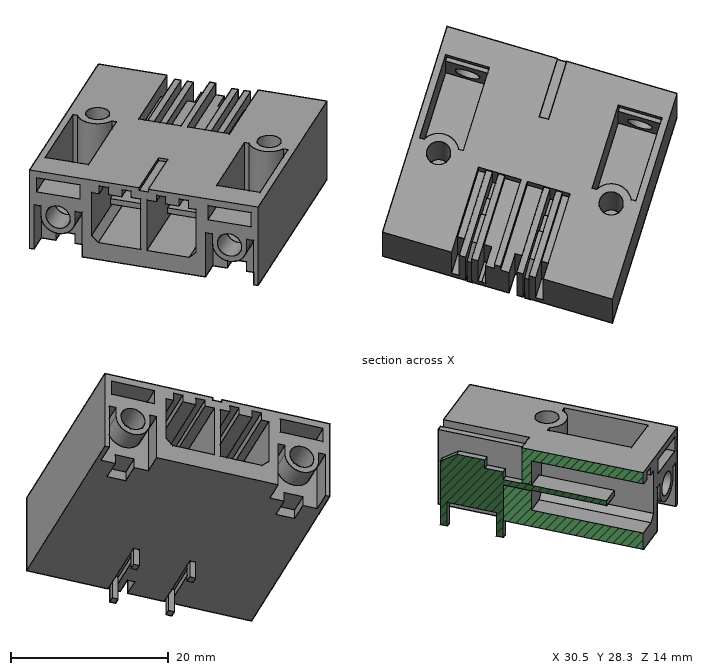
import cadquery as cq
import math

WIDTH = 30.48
DEPTH = 28.3
HEIGHT = 11.5
PITCH = 7.62
CONTACT_X = PITCH / 2
MOUNT_X = 1.5 * PITCH

CAVITY_DEPTH = 15.25
CAVITY_FLOOR_Z = 2.5
CAVITY_INNER_TOP_Z = 9.88
CAVITY_OUTER_TOP_Z = 9.65
KEY_BOTTOM_Z = 9.75
KEY_TOP_Z = 10.8
KEY_INNER = 0.88
KEY_OUTER = 2.13
CENTRE_WALL = 0.82
CAVITY_OUTER_X = 6.95
CAVITY_CHAMFER = 0.88

POCKET_WIDTH = 5.8
POCKET_FRONT_Y = 3.63
POCKET_REAR_Y = 15.05
POCKET_FLOOR_Z = 2.83
MOUNT_HOLE_Y = 16.28
MOUNT_HOLE_RADIUS = 1.52
MOUNT_BOSS_RADIUS = 2.6
WINDOW_BOTTOM_Z = 8.45
WINDOW_TOP_Z = 10.52
SCREW_Z = 5.27
SCREW_HOLE_RADIUS = 1.62
SCREW_BOSS_Z = 5.15
SCREW_BOSS_RADIUS = 2.3
RECESS_WIDTH = 6.4
RECESS_TOP_Z = 6.5
RECESS_DEPTH = 3.0
NOTCH_WIDTH = 2.53
NOTCH_HEIGHT = 1.37
NOTCH_DEPTH = 3.0

GROOVE_WIDTH = 1.22
GROOVE_LENGTH = 8.0
GROOVE_DEPTH = 0.4

CHANNEL_LENGTH = 11.7
CHANNEL_FLOOR_Z = 9.78
CHANNEL_OUTER = 2.25
RIB_OUTER = 1.25
RIB_TOP_Z = HEIGHT - 0.4
CORNER_NOTCH_LENGTH = 2.62
CORNER_NOTCH_FLOOR_Z = 1.52
HOLLOW_WIDTH = 0.52
HOLLOW_RADIUS = 0.9

CONTACT_THICKNESS = 0.8
LEG_WIDTH = 0.98
PLATE_REAR_Y = DEPTH - 0.6
PLATE_LENGTH = PITCH + LEG_WIDTH
PLATE_FRONT_Y = PLATE_REAR_Y - PLATE_LENGTH
PLATE_BOTTOM_Z = 1.0
PLATE_TOP_Z = 8.53
STEP_TOP_Z = 7.3
STEP_LENGTH = 2.5
SLOPE_LENGTH = 2.25
SLOPE_DROP = 1.52
LEG_LENGTH = 2.5
BLADE_WIDTH = 4.55
BLADE_CENTRE_Z = 5.8
BLADE_TIP_Y = 5.0


def box(x_range, y_range, z_range):
    """Box spanning the given (low, high) ranges."""
    (x0, x1), (y0, y1), (z0, z1) = x_range, y_range, z_range
    return cq.Workplane("XY").box(x1 - x0, y1 - y0, z1 - z0, centered=False).translate((x0, y0, z0))


def centred(middle, size):
    """(low, high) range of a size about a middle."""
    return (middle - size / 2, middle + size / 2)


def y_cylinder(x, z, radius, y_range):
    """Cylinder along Y."""
    start, end = y_range
    return cq.Workplane("XZ", origin=(x, start, z)).circle(radius).extrude(start - end)


def mating_cavity(side):
    """Keyed cavity for one contact; side is -1 or 1."""
    inner_x = CENTRE_WALL / 2
    outline = [
        (inner_x, CAVITY_FLOOR_Z),
        (inner_x, CAVITY_INNER_TOP_Z),
        (CONTACT_X - KEY_OUTER, CAVITY_INNER_TOP_Z),
        (CONTACT_X - KEY_OUTER, KEY_TOP_Z),
        (CONTACT_X - KEY_INNER, KEY_TOP_Z),
        (CONTACT_X - KEY_INNER, KEY_BOTTOM_Z),
        (CONTACT_X + KEY_INNER, KEY_BOTTOM_Z),
        (CONTACT_X + KEY_INNER, KEY_TOP_Z),
        (CONTACT_X + KEY_OUTER, KEY_TOP_Z),
        (CONTACT_X + KEY_OUTER, CAVITY_OUTER_TOP_Z),
        (CAVITY_OUTER_X, CAVITY_OUTER_TOP_Z),
        (CAVITY_OUTER_X, CAVITY_FLOOR_Z + CAVITY_CHAMFER),
        (CAVITY_OUTER_X - CAVITY_CHAMFER, CAVITY_FLOOR_Z),
    ]
    points = [(side * x, z) for x, z in outline]
    return cq.Workplane("XZ").polyline(points).close().extrude(-CAVITY_DEPTH)


def mounting_pocket(x):
    """Top pocket with the boss of the vertical hole left standing, its window and the vertical hole."""
    pocket_x = centred(x, POCKET_WIDTH)
    hole_centre = cq.Workplane("XY", origin=(x, MOUNT_HOLE_Y, POCKET_FLOOR_Z))
    height = HEIGHT - POCKET_FLOOR_Z
    pocket = box(pocket_x, (POCKET_FRONT_Y, POCKET_REAR_Y), (POCKET_FLOOR_Z, HEIGHT))
    window = box(pocket_x, (0, POCKET_FRONT_Y), (WINDOW_BOTTOM_Z, WINDOW_TOP_Z))
    boss = hole_centre.circle(MOUNT_BOSS_RADIUS).extrude(height)
    hole = hole_centre.circle(MOUNT_HOLE_RADIUS).extrude(height)
    return pocket.cut(boss).union(window).union(hole)


def screw_recess(x):
    """Front recess around the screw boss, the notch in its rear wall and the screw hole."""
    recess = box(centred(x, RECESS_WIDTH), (0, RECESS_DEPTH), (0, RECESS_TOP_Z))
    boss_round = y_cylinder(x, SCREW_BOSS_Z, SCREW_BOSS_RADIUS, (0, RECESS_DEPTH))
    boss_web = box(centred(x, 2 * SCREW_BOSS_RADIUS), (0, RECESS_DEPTH), (SCREW_BOSS_Z, RECESS_TOP_Z))
    boss = boss_round.union(boss_web)
    notch = box(centred(x, NOTCH_WIDTH), (RECESS_DEPTH, RECESS_DEPTH + NOTCH_DEPTH), (0, NOTCH_HEIGHT))
    hole = y_cylinder(x, SCREW_Z, SCREW_HOLE_RADIUS, (0, POCKET_FRONT_Y))
    return recess.cut(boss).union(notch).union(hole)


def rear_channel(side):
    """Channel around one contact slot with two ribs left standing, and its two corner notches."""
    channel_y = (DEPTH - CHANNEL_LENGTH, DEPTH)
    notch_y = (DEPTH - CORNER_NOTCH_LENGTH, DEPTH)
    x = side * CONTACT_X
    sides = sorted((side * CENTRE_WALL / 2, x + side * CHANNEL_OUTER))
    channel = box(sides, channel_y, (CHANNEL_FLOOR_Z, HEIGHT))
    channel = channel.cut(box(centred(x, 2 * RIB_OUTER), channel_y, (CHANNEL_FLOOR_Z, RIB_TOP_Z)))
    left_notch_x = (x - CHANNEL_OUTER, x - RIB_OUTER)
    right_notch_x = (x + RIB_OUTER, x + CHANNEL_OUTER)
    right_floor_z = 0 if side < 0 else CORNER_NOTCH_FLOOR_Z
    left_notch = box(left_notch_x, notch_y, (CORNER_NOTCH_FLOOR_Z, HEIGHT))
    right_notch = box(right_notch_x, notch_y, (right_floor_z, HEIGHT))
    return channel.union(left_notch).union(right_notch)


def notch_hollow():
    """Shallow hollow along the inner side of the right inner notch, curving up to the notch floor."""
    inner_x = CONTACT_X - CHANNEL_OUTER
    axis_z = CORNER_NOTCH_FLOOR_Z + math.sqrt(HOLLOW_RADIUS**2 - HOLLOW_WIDTH**2)
    hollow_y = (DEPTH - CORNER_NOTCH_LENGTH, DEPTH)
    hollow_x = (inner_x, inner_x + HOLLOW_WIDTH)
    hollow = y_cylinder(inner_x, axis_z, HOLLOW_RADIUS, hollow_y)
    return hollow.intersect(box(hollow_x, hollow_y, (0, axis_z)))


def contact_slot(side):
    """Vertical slot for the contact plate and the slit its blade passes through."""
    slot_x = centred(side * CONTACT_X, CONTACT_THICKNESS)
    blade_z = centred(BLADE_CENTRE_Z, CONTACT_THICKNESS)
    plate_slot = box(slot_x, (PLATE_FRONT_Y, DEPTH), (0, HEIGHT))
    front_slot = box(slot_x, (DEPTH - CHANNEL_LENGTH, PLATE_FRONT_Y), (blade_z[1], HEIGHT))
    slit = box(centred(side * CONTACT_X, BLADE_WIDTH), (CAVITY_DEPTH, PLATE_FRONT_Y), blade_z)
    return plate_slot.union(front_slot).union(slit)


def make_housing():
    body = box(centred(0, WIDTH), (0, DEPTH), (0, HEIGHT))
    body = body.cut(box(centred(0, GROOVE_WIDTH), (0, GROOVE_LENGTH), (HEIGHT - GROOVE_DEPTH, HEIGHT)))
    for side in (-1, 1):
        body = body.cut(mating_cavity(side))
        body = body.cut(mounting_pocket(side * MOUNT_X))
        body = body.cut(screw_recess(side * MOUNT_X))
        body = body.cut(rear_channel(side))
        body = body.cut(contact_slot(side))
    return body.cut(notch_hollow())


def make_contact(side):
    """Upright plate with two solder legs and a flat blade reaching forward."""
    x = side * CONTACT_X
    step_y = PLATE_FRONT_Y + STEP_LENGTH
    outline = [
        (PLATE_FRONT_Y, -LEG_LENGTH),
        (PLATE_FRONT_Y, STEP_TOP_Z),
        (step_y, STEP_TOP_Z),
        (step_y, PLATE_TOP_Z),
        (PLATE_REAR_Y - SLOPE_LENGTH, PLATE_TOP_Z),
        (PLATE_REAR_Y, PLATE_TOP_Z - SLOPE_DROP),
        (PLATE_REAR_Y, -LEG_LENGTH),
        (PLATE_REAR_Y - LEG_WIDTH, -LEG_LENGTH),
        (PLATE_REAR_Y - LEG_WIDTH, PLATE_BOTTOM_Z),
        (PLATE_FRONT_Y + LEG_WIDTH, PLATE_BOTTOM_Z),
        (PLATE_FRONT_Y + LEG_WIDTH, -LEG_LENGTH),
    ]
    plate = (
        cq.Workplane("YZ", origin=(x - CONTACT_THICKNESS / 2, 0, 0))
        .polyline(outline)
        .close()
        .extrude(CONTACT_THICKNESS)
    )
    blade_z = centred(BLADE_CENTRE_Z, CONTACT_THICKNESS)
    blade = box(centred(x, BLADE_WIDTH), (BLADE_TIP_Y, PLATE_FRONT_Y), blade_z)
    return plate.union(blade)


housing = make_housing()
contacts = [make_contact(side) for side in (-1, 1)]

result = cq.Compound.makeCompound([housing.val(), *[contact.val() for contact in contacts]])